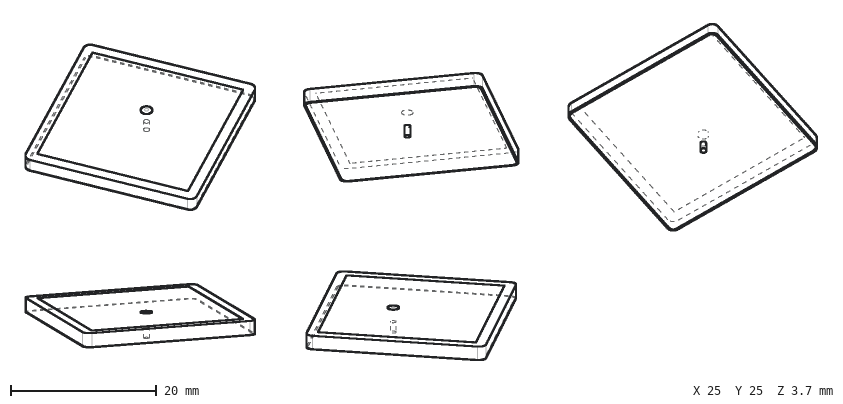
import cadquery as cq

body_side = 25.0
body_corner_radius = 1.0
body_thickness = 2.0

patch_side = 22.0
patch_thickness = 0.013

ground_inset = 0.2
ground_thickness = 0.05

pin_x = 0.0
pin_y = 2.5
shank_diameter = 0.8
head_diameter = 1.6
head_flat_diameter = 0.53
head_height = 0.1
head_rim_height = 0.03
overall_height = 3.7

body_top = body_thickness / 2
body_bottom = -body_top
head_base = body_top + patch_thickness
head_top = head_base + head_height
shank_bottom = head_top - overall_height


def rounded_plate(side, corner_radius, bottom, thickness):
    """Square plate centred on the Z axis with rounded vertical corners."""
    plate = cq.Workplane("XY").workplane(offset=bottom).rect(side, side).extrude(thickness)
    return plate.edges("|Z").fillet(corner_radius)


def body():
    return rounded_plate(body_side, body_corner_radius, body_bottom, body_thickness)


def patch():
    base = cq.Workplane("XY").workplane(offset=body_top)
    return base.rect(patch_side, patch_side).extrude(patch_thickness)


def ground_layer():
    side = body_side - 2 * ground_inset
    corner_radius = body_corner_radius - ground_inset
    return rounded_plate(side, corner_radius, body_bottom - ground_thickness, ground_thickness)


def feed_pin():
    """Shank and head revolved as one profile; the head arcs from its flat top to its rim."""
    shank_radius = shank_diameter / 2
    head_radius = head_diameter / 2
    profile = (
        cq.Workplane("XZ")
        .moveTo(0, head_top)
        .lineTo(head_flat_diameter / 2, head_top)
        .tangentArcPoint((head_radius, head_base + head_rim_height), relative=False)
        .lineTo(head_radius, head_base)
        .lineTo(shank_radius, head_base)
        .lineTo(shank_radius, shank_bottom)
        .lineTo(0, shank_bottom)
        .close()
    )
    pin = profile.revolve(360, (0, 0, 0), (0, 1, 0))
    return pin.translate((pin_x, pin_y, 0))


result = body().union(patch()).union(ground_layer()).union(feed_pin())